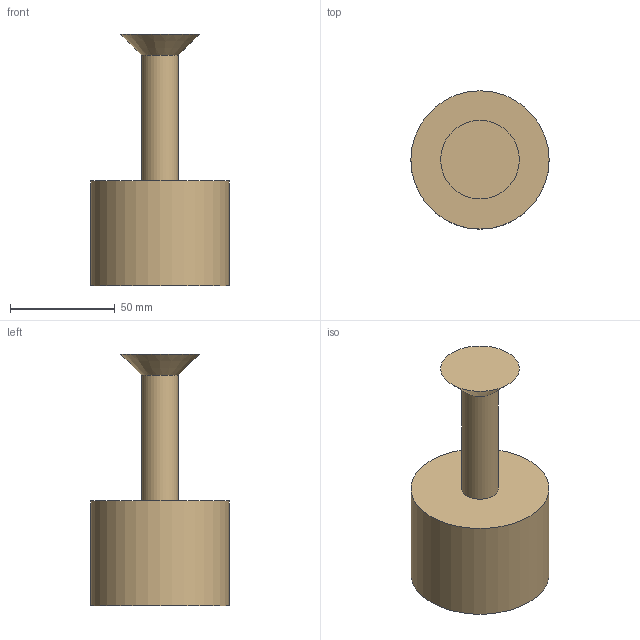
import cadquery as cq

base_diameter = 65.9
base_height = 50.0
stem_diameter = 17.5
stem_length = 60.0
head_height = 10.0

head_diameter = stem_diameter + 2 * head_height

base_radius = base_diameter / 2
stem_radius = stem_diameter / 2
head_radius = head_diameter / 2
stem_top = base_height + stem_length
head_top = stem_top + head_height

half_profile = (
    cq.Workplane("XZ")
    .moveTo(0, 0)
    .lineTo(base_radius, 0)
    .lineTo(base_radius, base_height)
    .lineTo(stem_radius, base_height)
    .lineTo(stem_radius, stem_top)
    .lineTo(head_radius, head_top)
    .lineTo(0, head_top)
    .close()
)

result = half_profile.revolve(360, (0, 0, 0), (0, 1, 0))